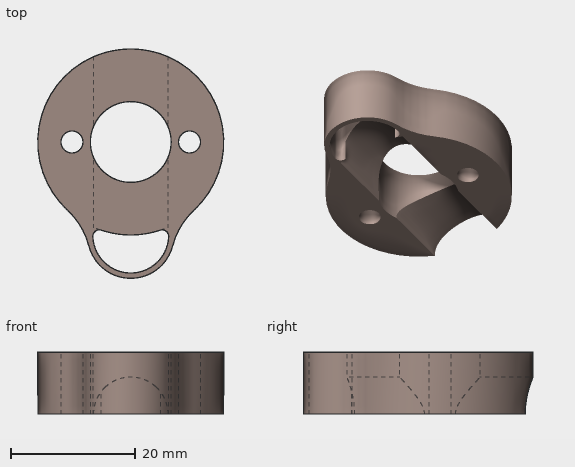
import cadquery as cq
import math

total_length = 37.0
height = 10.0
body_diameter = 30.0
lug_radius = 7.0
blend_radius = 12.0
lug_wall = 0.9
pocket_corner_radius = 1.0
bore_diameter = 13.0
pin_hole_diameter = 3.5
pin_hole_offset = 9.47
channel_radius = 6.0

body_radius = body_diameter / 2

lug_y = body_radius + lug_radius - total_length
lug_distance = abs(lug_y)


def make_outline():
    """Round body and lug joined by concave arcs tangent to both."""
    body_reach = body_radius + blend_radius
    lug_reach = lug_radius + blend_radius
    blend_y = -(lug_distance**2 + body_reach**2 - lug_reach**2) / (2 * lug_distance)
    blend_x = math.sqrt(body_reach**2 - blend_y**2)

    body_x = blend_x * body_radius / body_reach
    body_y = blend_y * body_radius / body_reach
    neck_x = blend_x * lug_radius / lug_reach
    neck_y = lug_y + (blend_y - lug_y) * lug_radius / lug_reach

    middle_angle = math.atan2(
        (body_y + neck_y) / 2 - blend_y,
        (body_x + neck_x) / 2 - blend_x,
    )
    middle_x = blend_x + blend_radius * math.cos(middle_angle)
    middle_y = blend_y + blend_radius * math.sin(middle_angle)

    return (
        cq.Workplane("XY")
        .moveTo(body_x, body_y)
        .threePointArc((0, body_radius), (-body_x, body_y))
        .threePointArc((-middle_x, middle_y), (-neck_x, neck_y))
        .threePointArc((0, lug_y - lug_radius), (neck_x, neck_y))
        .threePointArc((middle_x, middle_y), (body_x, body_y))
        .close()
        .extrude(height)
    )


def make_cylinder(x, y, radius):
    """Full-height upright cylinder."""
    return cq.Workplane("XY").center(x, y).circle(radius).extrude(height)


def make_pocket():
    """Through pocket in the lug, bounded on one side by the body circle."""
    lug_opening = make_cylinder(0, lug_y, lug_radius - lug_wall)
    crescent = lug_opening.cut(make_cylinder(0, 0, body_radius))
    return crescent.edges("|Z").edges("<X or >X").fillet(pocket_corner_radius)


def make_channel():
    """Half-round channel in the underside, from the +Y side to the pocket."""
    tunnel = (
        cq.Workplane("XZ")
        .circle(channel_radius)
        .extrude(body_radius, both=True)
    )
    return tunnel.intersect(make_cylinder(0, 0, body_radius))


result = make_outline()
result = result.cut(make_cylinder(0, 0, bore_diameter / 2))
for side in (-1, 1):
    result = result.cut(make_cylinder(side * pin_hole_offset, 0, pin_hole_diameter / 2))
result = result.cut(make_pocket())
result = result.cut(make_channel())